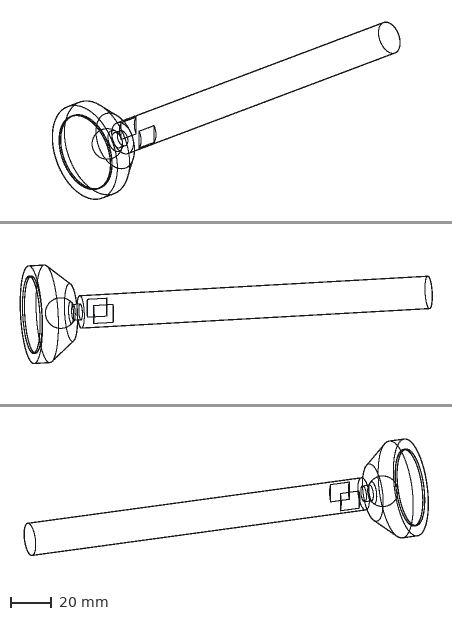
import cadquery as cq
import math

TOTAL_LENGTH = 200.0

FOOT_DIAMETER = 48.0
FOOT_TOP_DIAMETER = 28.5
FOOT_RIM_HEIGHT = 8.0
FOOT_HEIGHT = 20.0
GROOVE_OUTER_DIAMETER = 38.0
GROOVE_INNER_DIAMETER = 37.5
GROOVE_DEPTH = 1.0

SHAFT_DIAMETER = 16.0
SHAFT_START = 24.8
NECK_DIAMETER = 7.8
NECK_START = 21.2
BALL_DIAMETER = 15.0
FLAT_START = 29.8
FLAT_LENGTH = 9.8
FLAT_WIDTH = 13.2

BALL_CENTER = NECK_START - math.sqrt((BALL_DIAMETER / 2) ** 2 - (NECK_DIAMETER / 2) ** 2)


def cylinder(diameter, start, length):
    """Round bar along +Y, beginning at Y = start."""
    return (
        cq.Workplane("XZ", origin=(0, start, 0))
        .circle(diameter / 2)
        .extrude(-length)
    )


def make_ball():
    return cq.Workplane("XY").sphere(BALL_DIAMETER / 2).translate((0, BALL_CENTER, 0))


def make_foot():
    """Conical foot with a ball socket on top and a ring groove in its sole."""
    body = (
        cq.Workplane("XY")
        .lineTo(FOOT_DIAMETER / 2, 0)
        .lineTo(FOOT_DIAMETER / 2, FOOT_RIM_HEIGHT)
        .lineTo(FOOT_TOP_DIAMETER / 2, FOOT_HEIGHT)
        .lineTo(0, FOOT_HEIGHT)
        .close()
        .revolve(360, (0, 0, 0), (0, 1, 0))
    )
    groove = cylinder(GROOVE_OUTER_DIAMETER, 0, GROOVE_DEPTH).cut(
        cylinder(GROOVE_INNER_DIAMETER, 0, GROOVE_DEPTH)
    )
    return body.cut(groove).cut(make_ball())


def cut_wrench_flats(shaft):
    """Cut two opposite flats, facing -X and +X."""
    cut_depth = (SHAFT_DIAMETER - FLAT_WIDTH) / 2
    for side in (-1, 1):
        cutter = cq.Workplane("XY").box(cut_depth, FLAT_LENGTH, SHAFT_DIAMETER).translate(
            (side * (FLAT_WIDTH + cut_depth) / 2, FLAT_START + FLAT_LENGTH / 2, 0)
        )
        shaft = shaft.cut(cutter)
    return shaft


def make_spindle():
    """Long shaft with wrench flats, a thin neck and a ball end."""
    shaft = cut_wrench_flats(cylinder(SHAFT_DIAMETER, SHAFT_START, TOTAL_LENGTH - SHAFT_START))
    neck = cylinder(NECK_DIAMETER, BALL_CENTER, SHAFT_START - BALL_CENTER)
    return shaft.union(neck).union(make_ball())


foot = make_foot()
spindle = make_spindle()

result = cq.Compound.makeCompound([foot.val(), spindle.val()])